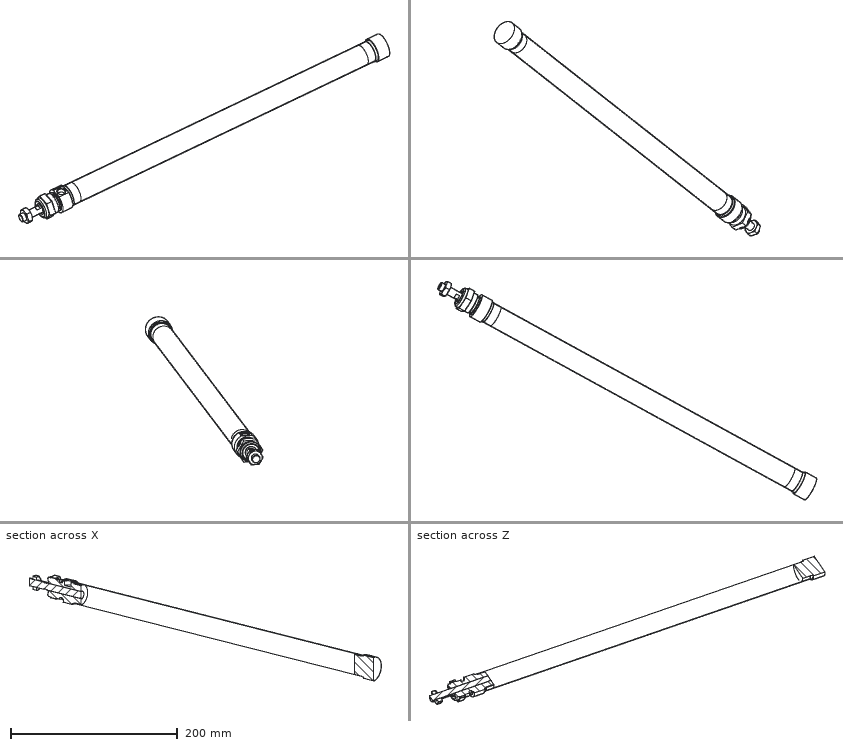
import cadquery as cq
import math

LENGTH = 518

ROD_D = 10.0
ROD_CHAMFER = 0.5
FLATS_ACROSS = 8.5
FLATS_START = 22.0
FLATS_END = 26.5

ROD_NUT_ACROSS_FLATS = 17.0
ROD_NUT_START = 5
ROD_NUT_THICKNESS = 6.0
ROD_NUT_CHAMFER_ANGLE = math.radians(30)

MOUNTING_NUT_ACROSS_FLATS = 27.0
MOUNTING_NUT_START = 32.0
MOUNTING_NUT_THICKNESS = 8.0

BOSS_D = 25.0
BOSS_CHAMFER = 1.5
BOSS_START = 27.5
BOSS_END = 46.0
NECK_D = 19.5
NECK_END = 49.0
SHOULDER_D = 24.0
SHOULDER_LENGTH = 1.5
BODY_D = 30.0
BODY_START = NECK_END + SHOULDER_LENGTH
BODY_END = 65.0

RECESS_D = 20.0
RECESS_DEPTH = 0.5
WIPER_D = 14.0
WIPER_DEPTH = 1.0

PORT_FLAT_WIDTH = 13.0
PORT_FLAT_Z = math.sqrt(BODY_D**2 - PORT_FLAT_WIDTH**2) / 2
PORT_D = 9.0
PORT_MOUTH_D = 11.0
PORT_DEPTH = 6.0
PORT_Y = 58.0

TUBE_D = 26.5
TUBE_BORE = 25.0
COLLAR_D = 27.0
COLLAR_LENGTH = 3.0
SPIGOT_LENGTH = 10.5
CAP_LENGTH = 15.5
CAP_START = LENGTH - CAP_LENGTH
TUBE_START = BODY_END + COLLAR_LENGTH
TUBE_END = CAP_START - COLLAR_LENGTH
ROD_END = TUBE_START + SPIGOT_LENGTH


def turned(profile):
    """Solid of revolution about Y from (radius, y) points that start and end on the axis."""
    return cq.Workplane("XY").polyline(profile).close().revolve(360, (0, 0), (0, 1))


def cylinder(diameter, start, end):
    """Cylinder on the Y axis."""
    radius = diameter / 2
    return turned([(0, start), (radius, start), (radius, end), (0, end)])


def corner_radius(across_flats):
    """Distance from the axis of a hexagon to its corners."""
    return across_flats / 2 / math.cos(math.pi / 6)


def hex_nut(across_flats, bore, start, thickness):
    """Hexagonal nut with two corners in the XY plane."""
    nut = (
        cq.Workplane("XZ", origin=(0, start, 0))
        .polygon(6, 2 * corner_radius(across_flats))
        .extrude(-thickness)
    )
    return nut.cut(cylinder(bore, start, start + thickness))


def make_rod():
    rod = cylinder(ROD_D, 0, ROD_END).faces("<Y").chamfer(ROD_CHAMFER)
    flats_middle = (FLATS_START + FLATS_END) / 2
    for side in (-1, 1):
        flat_cutter = (
            cq.Workplane("XY")
            .box(ROD_D, FLATS_END - FLATS_START, ROD_D)
            .translate((0, flats_middle, side * (FLATS_ACROSS + ROD_D) / 2))
        )
        rod = rod.cut(flat_cutter)
    return rod


def make_rod_nut():
    nut = hex_nut(ROD_NUT_ACROSS_FLATS, ROD_D, ROD_NUT_START, ROD_NUT_THICKNESS)
    face_r = ROD_NUT_ACROSS_FLATS / 2
    corner_r = corner_radius(ROD_NUT_ACROSS_FLATS)
    drop = (corner_r - face_r) * math.tan(ROD_NUT_CHAMFER_ANGLE)
    end = ROD_NUT_START + ROD_NUT_THICKNESS
    chamfered_envelope = turned([
        (0, ROD_NUT_START),
        (face_r, ROD_NUT_START),
        (corner_r, ROD_NUT_START + drop),
        (corner_r, end - drop),
        (face_r, end),
        (0, end),
    ])
    return nut.intersect(chamfered_envelope)


def make_mounting_nut():
    return hex_nut(MOUNTING_NUT_ACROSS_FLATS, BOSS_D, MOUNTING_NUT_START, MOUNTING_NUT_THICKNESS)


def make_head():
    blank = turned([
        (0, BOSS_START),
        (BOSS_D / 2 - BOSS_CHAMFER, BOSS_START),
        (BOSS_D / 2, BOSS_START + BOSS_CHAMFER),
        (BOSS_D / 2, BOSS_END),
        (NECK_D / 2, BOSS_END),
        (NECK_D / 2, NECK_END),
        (SHOULDER_D / 2, NECK_END),
        (SHOULDER_D / 2, BODY_START),
        (BODY_D / 2, BODY_START),
        (BODY_D / 2, BODY_END),
        (COLLAR_D / 2, BODY_END),
        (COLLAR_D / 2, TUBE_START),
        (TUBE_BORE / 2, TUBE_START),
        (TUBE_BORE / 2, ROD_END),
        (0, ROD_END),
    ])
    recess = cylinder(RECESS_D, BOSS_START, BOSS_START + RECESS_DEPTH)
    wiper_seat = cylinder(WIPER_D, BOSS_START, BOSS_START + WIPER_DEPTH)
    rod_bore = cylinder(ROD_D, BOSS_START, ROD_END)
    bored = blank.cut(recess).cut(wiper_seat).cut(rod_bore)
    return cut_port(bored)


def cut_port(head):
    """Mills the flat on top of the head body and drills the countersunk port in it."""
    body_middle = (BODY_START + BODY_END) / 2
    flat_cutter = (
        cq.Workplane("XY", origin=(0, body_middle, PORT_FLAT_Z))
        .rect(BODY_D, BODY_END - BODY_START)
        .extrude(BODY_D)
    )
    flattened = head.cut(flat_cutter)
    port_top = cq.Workplane("XY", origin=(0, PORT_Y, PORT_FLAT_Z))
    drilling = port_top.circle(PORT_D / 2).extrude(-PORT_DEPTH)
    countersink_depth = (PORT_MOUTH_D - PORT_D) / 2
    countersink = port_top.circle(PORT_MOUTH_D / 2).extrude(-countersink_depth, taper=45)
    return flattened.cut(drilling).cut(countersink)


def make_tube():
    outside = cylinder(TUBE_D, TUBE_START, TUBE_END)
    return outside.cut(cylinder(TUBE_BORE, TUBE_START, TUBE_END))


def make_cap():
    spigot_start = TUBE_END - SPIGOT_LENGTH
    return turned([
        (0, spigot_start),
        (TUBE_BORE / 2, spigot_start),
        (TUBE_BORE / 2, TUBE_END),
        (COLLAR_D / 2, TUBE_END),
        (COLLAR_D / 2, CAP_START),
        (BODY_D / 2, CAP_START),
        (BODY_D / 2, LENGTH),
        (0, LENGTH),
    ])


rod = make_rod()
rod_nut = make_rod_nut()
mounting_nut = make_mounting_nut()
head = make_head()
tube = make_tube()
cap = make_cap()

result = cq.Compound.makeCompound([
    rod.val(),
    rod_nut.val(),
    mounting_nut.val(),
    head.val(),
    tube.val(),
    cap.val(),
])